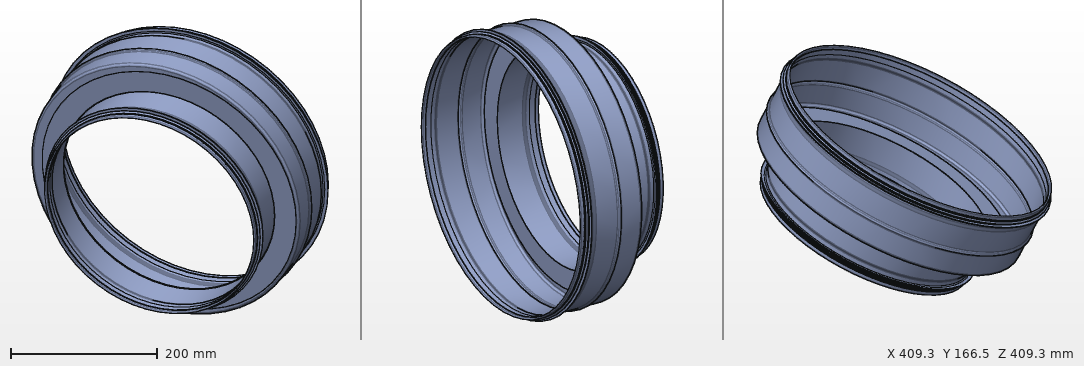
import cadquery as cq
import math

large_diameter = 399.0
small_diameter = 314.0
large_groove_diameter = 395.3
small_groove_diameter = 310.0
axis_offset = 5.7
wall = 0.55
large_length = 101.0
small_length = 65.5
corner_radius = 3.5
opening_diameter = 314.5
flange_diameter = 377.5

hem_thickness = 2.95
hem_depth = 6.0
groove_end = 22.0
taper_end = 24.5
bend_length = 1.0

bead_depth = 63.5
bead_half_width = 3.5
bead_height = 2.5

gasket_end = 15.0
gasket_base_height = 1.85
leaning_lip_height = 4.5
upright_lip_height = 7.0
leaning_lip_start = 7.8
leaning_lip_shift = 2.5
leaning_lip_width = 1.02
upright_lip_start = 14.0

large_radius = large_diameter / 2
small_radius = small_diameter / 2
large_groove_radius = large_groove_diameter / 2
small_groove_radius = small_groove_diameter / 2
flange_radius = flange_diameter / 2


def revolve_about_y(outline):
    """Revolve a closed outline of (radius, y) points a full turn about the Y axis."""
    return outline.close().revolve(360, (0, 0, 0), (0, 1, 0))


def add_bend(outline, before, corner, after):
    """Run the outline from the side of `before` around a rounded corner toward `after`."""
    into = cq.Vector(*before).sub(cq.Vector(*corner)).normalized()
    away = cq.Vector(*after).sub(cq.Vector(*corner)).normalized()
    middle = into.add(away).normalized()
    half_turn = (math.pi - into.getAngle(away)) / 2
    arc_radius = bend_length / math.tan(half_turn)
    arc_start = cq.Vector(*corner).add(into.multiply(bend_length))
    arc_middle = cq.Vector(*corner).add(middle.multiply(arc_radius * (1 / math.cos(half_turn) - 1)))
    arc_end = cq.Vector(*corner).add(away.multiply(bend_length))
    return outline.lineTo(arc_start.x, arc_start.y).threePointArc(
        (arc_middle.x, arc_middle.y), (arc_end.x, arc_end.y)
    )


def rim_outline(radius, groove_radius):
    """Rim outline from the inner side of the tube, around the hem, to its outer side."""
    hem_inner = radius - hem_thickness
    hem_round = hem_thickness / 2
    taper_path = [
        (groove_radius, hem_depth),
        (groove_radius, groove_end),
        (radius, taper_end),
        (radius, taper_end + 2 * bend_length),
    ]
    inner_path = [(r - wall, depth) for r, depth in reversed(taper_path)]
    outline = cq.Workplane("XY").moveTo(*inner_path[0])
    outline = add_bend(outline, *inner_path[:3])
    outline = add_bend(outline, *inner_path[1:])
    outline = (
        outline.lineTo(*inner_path[3])
        .lineTo(hem_inner, hem_depth)
        .lineTo(hem_inner, hem_round)
        .threePointArc((radius - hem_round, 0), (radius, hem_round))
        .lineTo(radius, hem_depth)
        .lineTo(*taper_path[0])
    )
    outline = add_bend(outline, *taper_path[:3])
    outline = add_bend(outline, *taper_path[1:])
    return outline.lineTo(*taper_path[3])


def add_bead(outline, radius, direction):
    """Run the outline over the bead; direction is +1 for growing depth and -1 for falling depth.

    The bead is an S-curve up and an S-curve down, built from arcs of equal radius.
    """
    start = bead_depth - direction * bead_half_width
    quarter = direction * bead_half_width / 2
    half_height = bead_height / 2
    arc_radius = ((bead_half_width / 2) ** 2 + half_height**2) / bead_height
    half_angle = math.atan2(half_height, bead_half_width / 2)
    foot_rise = arc_radius * (1 - math.cos(half_angle))
    foot_run = direction * arc_radius * math.sin(half_angle)
    end = bead_depth + direction * bead_half_width
    return (
        outline.lineTo(radius, start)
        .threePointArc((radius + foot_rise, start + foot_run), (radius + half_height, start + quarter))
        .threePointArc((radius + bead_height, bead_depth), (radius + half_height, end - quarter))
        .threePointArc((radius + foot_rise, end - foot_run), (radius, end))
    )


def place_at_back(body):
    """Turn rim depth into a position in front of the back rim of the large tube."""
    return body.mirror("XZ").translate((0, large_length, 0))


def place_at_front(body):
    """Turn rim depth into a position behind the front rim, on the small tube's axis."""
    return body.translate((axis_offset, -small_length, 0))


def make_large_tube():
    diagonal = math.sqrt(0.5)
    corner_depth = large_length - corner_radius
    corner_center = large_radius - corner_radius
    inner_radius = corner_radius - wall
    outline = add_bead(rim_outline(large_radius, large_groove_radius), large_radius, 1)
    outline = (
        outline.lineTo(large_radius, corner_depth)
        .threePointArc(
            (corner_center + corner_radius * diagonal, corner_depth + corner_radius * diagonal),
            (corner_center, large_length),
        )
        .lineTo(0, large_length)
        .lineTo(0, large_length - wall)
        .lineTo(corner_center, large_length - wall)
        .threePointArc(
            (corner_center + inner_radius * diagonal, corner_depth + inner_radius * diagonal),
            (large_radius - wall, corner_depth),
        )
    )
    outline = add_bead(outline, large_radius - wall, -1)
    tube = place_at_back(revolve_about_y(outline))
    opening = (
        cq.Workplane("XZ", origin=(axis_offset, 0, 0))
        .circle(opening_diameter / 2)
        .extrude(2 * wall, both=True)
    )
    return tube.cut(opening)


def make_small_tube():
    flange_front = small_length + wall
    outline = (
        rim_outline(small_radius, small_groove_radius)
        .lineTo(small_radius, flange_front)
        .lineTo(flange_radius, flange_front)
        .lineTo(flange_radius, flange_front + wall)
        .lineTo(small_radius - wall, flange_front + wall)
    )
    return place_at_front(revolve_about_y(outline))


def make_gasket(groove_radius):
    base_radius = groove_radius + gasket_base_height
    lean_radius = groove_radius + leaning_lip_height
    tip_radius = groove_radius + upright_lip_height
    tip_start = leaning_lip_start + leaning_lip_shift
    outline = (
        cq.Workplane("XY")
        .moveTo(groove_radius, hem_depth)
        .lineTo(base_radius, hem_depth)
        .lineTo(base_radius, leaning_lip_start)
        .lineTo(lean_radius, tip_start)
        .lineTo(lean_radius, tip_start + leaning_lip_width)
        .lineTo(base_radius, leaning_lip_start + leaning_lip_width)
        .lineTo(base_radius, upright_lip_start)
        .lineTo(tip_radius, upright_lip_start)
        .lineTo(tip_radius, gasket_end)
        .lineTo(groove_radius, gasket_end)
    )
    return revolve_about_y(outline)


large_tube = make_large_tube()
small_tube = make_small_tube()
large_gasket = place_at_back(make_gasket(large_groove_radius))
small_gasket = place_at_front(make_gasket(small_groove_radius))

result = cq.Compound.makeCompound(
    [large_tube.val(), small_tube.val(), large_gasket.val(), small_gasket.val()]
)